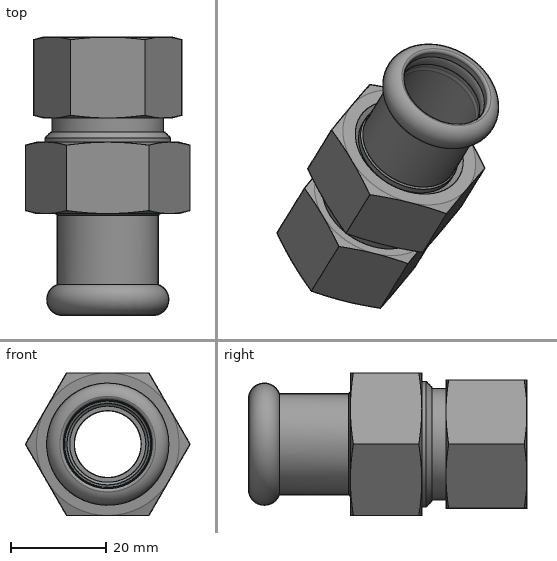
import cadquery as cq
import math

TOTAL_LENGTH = 58.5
COLLAR_START = 21.0
UNION_NUT_START = 21.4
UNION_NUT_LENGTH = 15.0
UNION_NUT_END = UNION_NUT_START + UNION_NUT_LENGTH
SHOULDER_CHAMFER_START = 37.3
END_NUT_LENGTH = 17.0
END_NUT_START = TOTAL_LENGTH - END_NUT_LENGTH

UNION_NUT_ACROSS_FLATS = 30.0
END_NUT_ACROSS_FLATS = 27.0
NUT_CHAMFER_ANGLE = 15.0
HEXAGON_HALF_ANGLE = 30.0
UNION_NUT_MOUTH_DIAMETER = 24.4
UNION_NUT_MOUTH_ANGLE = 45.0

TUBE_DIAMETER = 21.3
COLLAR_DIAMETER = 22.0
SHOULDER_DIAMETER = 26.45
SHOULDER_TOP_DIAMETER = 24.0
NECK_DIAMETER = 23.5
BEAD_ROUND_RADIUS = 3.35
BEAD_CENTRE_RADIUS = 9.5

LIP_DIAMETER = 18.7
LIP_ROUND_RADIUS = 0.7
RIM_DIAMETER = LIP_DIAMETER + 2 * LIP_ROUND_RADIUS
SEAL_START = 2.0
SEAL_END = 4.65
SEAL_BULGE = 0.3
SOCKET_TAPER_START = 5.6
SOCKET_TAPER_END = 6.5
SOCKET_DIAMETER = 18.3
SOCKET_DEPTH = 20.0
SOCKET_CORNER_RADIUS = 0.4
STOP_CONE_MOUTH_DIAMETER = 17.1
STOP_CONE_DIAMETER = 16.0
STOP_CONE_ANGLE = 45.0
BORE_DIAMETER = 14.0


def revolve_about_y(profile):
    """Close a half profile drawn in X-Y and turn it about the Y axis."""
    return profile.close().revolve(360, (0, 0, 0), (0, 1, 0))


def bead_half_width(radius):
    """Half the bead's extent along Y at a given distance from the axis."""
    return math.sqrt(BEAD_ROUND_RADIUS**2 - (radius - BEAD_CENTRE_RADIUS) ** 2)


def make_outer_body():
    """Beaded tube, collar, shoulder and neck turned about Y."""
    tube_radius = TUBE_DIAMETER / 2
    collar_radius = COLLAR_DIAMETER / 2
    shoulder_radius = SHOULDER_DIAMETER / 2
    shoulder_top_radius = SHOULDER_TOP_DIAMETER / 2
    rim_radius = RIM_DIAMETER / 2
    bead_middle = bead_half_width(rim_radius)
    bead_end = bead_middle + bead_half_width(tube_radius)
    shoulder_chamfer_end = SHOULDER_CHAMFER_START + shoulder_radius - shoulder_top_radius
    collar_chamfer_end = COLLAR_START + collar_radius - tube_radius
    profile = (
        cq.Workplane("XY")
        .lineTo(rim_radius, 0)
        .threePointArc(
            (BEAD_CENTRE_RADIUS + BEAD_ROUND_RADIUS, bead_middle),
            (tube_radius, bead_end),
        )
        .lineTo(tube_radius, COLLAR_START)
        .lineTo(collar_radius, collar_chamfer_end)
        .lineTo(collar_radius, UNION_NUT_END)
        .lineTo(shoulder_radius, UNION_NUT_END)
        .lineTo(shoulder_radius, SHOULDER_CHAMFER_START)
        .lineTo(shoulder_top_radius, shoulder_chamfer_end)
        .lineTo(NECK_DIAMETER / 2, shoulder_chamfer_end)
        .lineTo(NECK_DIAMETER / 2, TOTAL_LENGTH)
        .lineTo(0, TOTAL_LENGTH)
    )
    return revolve_about_y(profile)


def make_hex_nut(across_flats, start, length):
    """Hexagon along Y with corners on X and both ends chamfered down to the inscribed circle."""
    flat_radius = across_flats / 2
    corner_radius = flat_radius / math.cos(math.radians(HEXAGON_HALF_ANGLE))
    chamfer = (corner_radius - flat_radius) * math.tan(math.radians(NUT_CHAMFER_ANGLE))
    end = start + length
    prism = (
        cq.Workplane("XZ", origin=(0, start, 0))
        .polygon(6, 2 * corner_radius)
        .extrude(-length)
    )
    envelope = revolve_about_y(
        cq.Workplane("XY")
        .moveTo(0, start)
        .lineTo(flat_radius, start)
        .lineTo(corner_radius, start + chamfer)
        .lineTo(corner_radius, end - chamfer)
        .lineTo(flat_radius, end)
        .lineTo(0, end)
    )
    return prism.intersect(envelope)


def make_union_nut():
    """Larger nut, countersunk at its front face down to the collar."""
    nut = make_hex_nut(UNION_NUT_ACROSS_FLATS, UNION_NUT_START, UNION_NUT_LENGTH)
    mouth_radius = UNION_NUT_MOUTH_DIAMETER / 2
    collar_radius = COLLAR_DIAMETER / 2
    mouth_depth = (mouth_radius - collar_radius) / math.tan(math.radians(UNION_NUT_MOUTH_ANGLE))
    countersink = revolve_about_y(
        cq.Workplane("XY")
        .moveTo(0, UNION_NUT_START)
        .lineTo(mouth_radius, UNION_NUT_START)
        .lineTo(collar_radius, UNION_NUT_START + mouth_depth)
        .lineTo(0, UNION_NUT_START + mouth_depth)
    )
    return nut.cut(countersink)


def make_bore():
    """Press socket with rounded lip, bulging seal ring and tube stop, then the through bore."""
    lip_radius = LIP_DIAMETER / 2
    rim_radius = RIM_DIAMETER / 2
    socket_radius = SOCKET_DIAMETER / 2
    bore_radius = BORE_DIAMETER / 2
    corner = SOCKET_CORNER_RADIUS
    mouth_radius = STOP_CONE_MOUTH_DIAMETER / 2
    cone_radius = STOP_CONE_DIAMETER / 2
    cone_end = SOCKET_DEPTH + (mouth_radius - cone_radius) / math.tan(math.radians(STOP_CONE_ANGLE))
    diagonal = math.sqrt(0.5)
    seal_middle = (SEAL_START + SEAL_END) / 2
    profile = (
        cq.Workplane("XY")
        .lineTo(rim_radius, 0)
        .threePointArc(
            (rim_radius - LIP_ROUND_RADIUS * diagonal, LIP_ROUND_RADIUS * (1 - diagonal)),
            (lip_radius, LIP_ROUND_RADIUS),
        )
        .lineTo(lip_radius, SEAL_START)
        .threePointArc(
            (lip_radius - SEAL_BULGE, seal_middle),
            (lip_radius, SEAL_END),
        )
        .lineTo(lip_radius, SOCKET_TAPER_START)
        .lineTo(socket_radius, SOCKET_TAPER_END)
        .lineTo(socket_radius, SOCKET_DEPTH - corner)
        .threePointArc(
            (socket_radius - corner * (1 - diagonal), SOCKET_DEPTH - corner * (1 - diagonal)),
            (socket_radius - corner, SOCKET_DEPTH),
        )
        .lineTo(mouth_radius, SOCKET_DEPTH)
        .lineTo(cone_radius, cone_end)
        .lineTo(bore_radius, cone_end)
        .lineTo(bore_radius, TOTAL_LENGTH)
        .lineTo(0, TOTAL_LENGTH)
    )
    return revolve_about_y(profile)


end_nut = make_hex_nut(END_NUT_ACROSS_FLATS, END_NUT_START, END_NUT_LENGTH)
result = make_outer_body().union(make_union_nut()).union(end_nut).cut(make_bore())